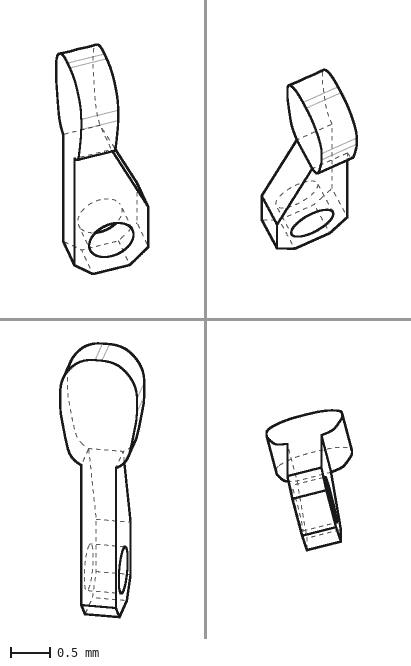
import cadquery as cq

height = 3.75
depth = 1.0
head_width = 1.0
head_depth = depth / 2

stem_width = 0.45
corner_chamfer = 0.25
slope_start_z = 0.995
hole_diameter = 0.6
hole_z = 0.55

neck_z = 2.24
top_flat_half_width = 0.045
side_flat_top_z = 3.248
side_flat_bottom_z = 3.055
shoulder_mid = (0.37, 3.6)
taper_mid = (0.465, 2.78)
taper_end = (0.412, 2.5)
heel_mid = (0.35, 2.34)
heel_direction = (-2, -1)


def make_stem():
    """Lever stem: side profile extruded across X, with a pivot hole."""
    profile = [
        (0, corner_chamfer),
        (corner_chamfer, 0),
        (depth - corner_chamfer, 0),
        (depth, corner_chamfer),
        (depth, slope_start_z),
        (head_depth, neck_z),
        (0, neck_z),
    ]
    side_plane = cq.Workplane("YZ", origin=(-stem_width / 2, 0, 0))
    blank = side_plane.polyline(profile).close().extrude(stem_width)
    hole = side_plane.center(depth / 2, hole_z).circle(hole_diameter / 2).extrude(stem_width)
    return blank.cut(hole)


def make_head():
    """Rounded paddle: half outline extruded along +Y, then mirrored."""
    half_width = head_width / 2
    half = (
        cq.Workplane("XZ")
        .moveTo(0, height)
        .lineTo(top_flat_half_width, height)
        .spline(
            [shoulder_mid, (half_width, side_flat_top_z)],
            tangents=[(1, 0), (0, -1)],
            includeCurrent=True,
        )
        .lineTo(half_width, side_flat_bottom_z)
        .spline(
            [taper_mid, taper_end, heel_mid, (stem_width / 2, neck_z)],
            tangents=[(0, -1), heel_direction],
            includeCurrent=True,
        )
        .lineTo(0, neck_z)
        .close()
        .extrude(-head_depth)
    )
    return half.union(half.mirror("YZ"))


result = make_stem().union(make_head()).clean()